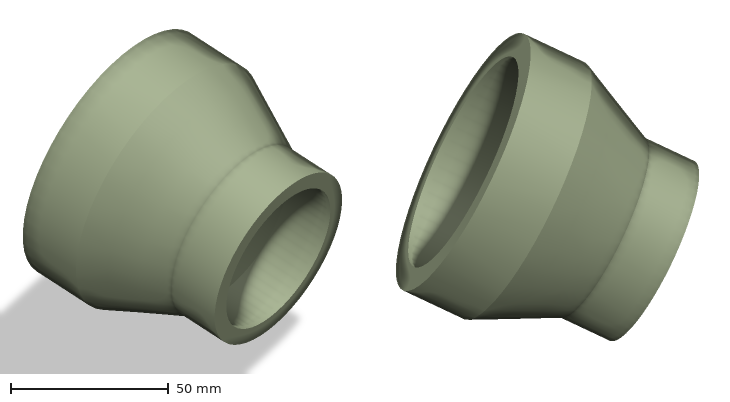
import cadquery as cq

total_length = 68.0
large_length = 22.0
small_length = 18.0

large_outer_radius = 90.0 / 2
large_bore_radius = 73.6 / 2
small_outer_radius = 63.0 / 2
small_bore_radius = 51.4 / 2

taper_start = large_length
taper_end = total_length - small_length


def turned_solid(large_radius, small_radius):
    """Solid of revolution about X: large cylinder, cone, small cylinder."""
    half_section = (
        cq.Workplane("XY")
        .moveTo(0, 0)
        .lineTo(0, large_radius)
        .lineTo(taper_start, large_radius)
        .lineTo(taper_end, small_radius)
        .lineTo(total_length, small_radius)
        .lineTo(total_length, 0)
        .close()
    )
    return half_section.revolve(360, (0, 0, 0), (1, 0, 0))


body = turned_solid(large_outer_radius, small_outer_radius)
bore = turned_solid(large_bore_radius, small_bore_radius)

result = body.cut(bore)